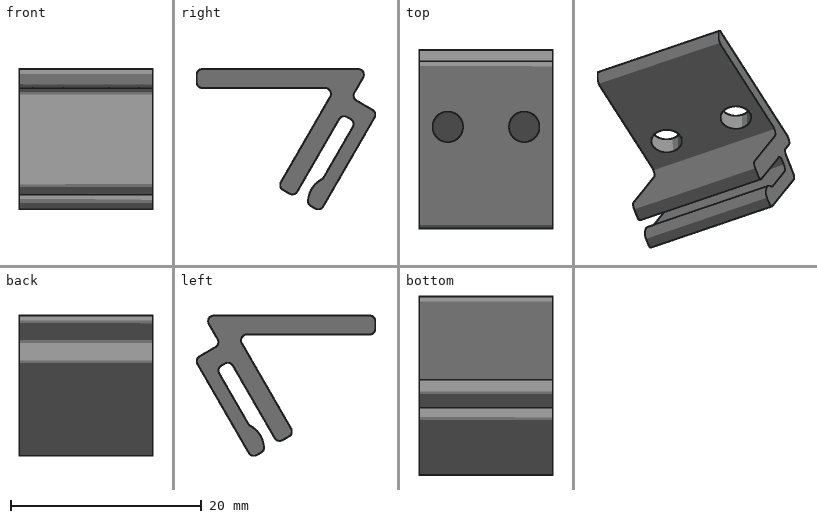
import cadquery as cq
import math

width = 14.0
plate_thickness = 2.0
plate_reach = 14.5
arm_angle = 60.0
arm_length = 11.97
inner_leg_thickness = 2.0
outer_leg_thickness = 1.5
slot_width = 1.63
slot_end = 2.0
bulge_length = 3.1
bulge_height = 0.49
edge_radius = 0.6
hole_diameter = 3.2
hole_spacing = 8.0
hole_setback = 10.65

angle = math.radians(arm_angle)
slot_outer_wall = inner_leg_thickness + slot_width
outer_face = slot_outer_wall + outer_leg_thickness
bulge_start = arm_length - bulge_length


def on_arm(along, across):
    """(Y, Z) of a point: along the arm from the inner corner, and across it from its inner face."""
    y = plate_reach - along * math.cos(angle) + across * math.sin(angle)
    z = -plate_thickness - along * math.sin(angle) - across * math.cos(angle)
    return y, z


neck_top = on_arm(-(plate_thickness + inner_leg_thickness * math.cos(angle)) / math.sin(angle),
                  inner_leg_thickness)
inner_corner = on_arm(0, 0)
inner_leg_tip = on_arm(arm_length, 0)
inner_leg_slot_tip = on_arm(arm_length, inner_leg_thickness)
slot_inner_corner = on_arm(slot_end, inner_leg_thickness)
slot_outer_corner = on_arm(slot_end, slot_outer_wall)
bulge_root = on_arm(bulge_start, slot_outer_wall)
bulge_crest = on_arm(bulge_start + bulge_length / 2, slot_outer_wall - bulge_height)
bulge_tip = on_arm(arm_length, slot_outer_wall)
outer_leg_tip = on_arm(arm_length, outer_face)
shoulder_outer = on_arm(0, outer_face)
shoulder_inner = on_arm(0, inner_leg_thickness)

body = (
    cq.Workplane("YZ")
    .moveTo(0, 0)
    .lineTo(0, -plate_thickness)
    .lineTo(*inner_corner)
    .lineTo(*inner_leg_tip)
    .lineTo(*inner_leg_slot_tip)
    .lineTo(*slot_inner_corner)
    .lineTo(*slot_outer_corner)
    .lineTo(*bulge_root)
    .threePointArc(bulge_crest, bulge_tip)
    .lineTo(*outer_leg_tip)
    .lineTo(*shoulder_outer)
    .lineTo(*shoulder_inner)
    .lineTo(*neck_top)
    .close()
    .extrude(width / 2, both=True)
)


def round_corners(solid, corners, radius):
    """Fillet the edges along X that pass through the given (Y, Z) corners."""
    for y, z in corners:
        solid = solid.edges(cq.selectors.NearestToPointSelector((0, y, z))).fillet(radius)
    return solid


body = round_corners(
    body,
    [
        (0, 0),
        (0, -plate_thickness),
        inner_corner,
        inner_leg_tip,
        inner_leg_slot_tip,
        slot_inner_corner,
        slot_outer_corner,
        bulge_root,
        bulge_tip,
        outer_leg_tip,
        shoulder_outer,
        shoulder_inner,
        neck_top,
    ],
    edge_radius,
)

holes = (
    cq.Workplane("XY")
    .pushPoints([(-hole_spacing / 2, hole_setback), (hole_spacing / 2, hole_setback)])
    .circle(hole_diameter / 2)
    .extrude(-plate_thickness)
)
result = body.cut(holes)